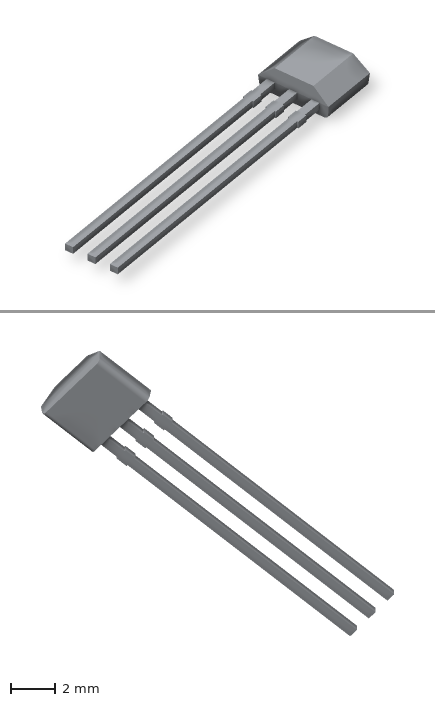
import cadquery as cq
import math

HOUSING_WIDTH = 4.0
HOUSING_LENGTH = 3.15
HOUSING_HEIGHT = 1.52
UPPER_HEIGHT = 0.755
LOWER_HEIGHT = HOUSING_HEIGHT - UPPER_HEIGHT
TOP_FACE_WIDTH = 2.2
DRAFT_ANGLE = 5.0
BOTTOM_ROUND = 0.25

LEAD_COUNT = 3
LEAD_PITCH = 1.27
LEAD_WIDTH = 0.455
LEAD_THICKNESS = 0.38
LEAD_EMBED_DEPTH = 0.5
OVERALL_LENGTH = 18.45
LEAD_LENGTH = OVERALL_LENGTH - HOUSING_LENGTH

STOP_WIDTH = 0.595
STOP_LENGTH = 0.6
STOP_DISTANCE = 1.1


def draft_inset(height):
    """Horizontal set-back of a drafted wall over the given height."""
    return height * math.tan(math.radians(DRAFT_ANGLE))


def make_housing_half(end_width, end_z):
    """Half of the housing, tapering from the parting plane to a smaller rectangle at end_z."""
    end_length = HOUSING_LENGTH - 2 * draft_inset(abs(end_z))
    return (
        cq.Workplane("XY", origin=(0, HOUSING_LENGTH / 2, 0))
        .rect(HOUSING_WIDTH, HOUSING_LENGTH)
        .workplane(offset=end_z)
        .rect(end_width, end_length)
        .loft(ruled=True)
    )


def make_bar(x_center, width, y_start, y_end):
    """Bar as thick as a lead, from y_start to y_end, hanging below the parting plane."""
    return (
        cq.Workplane("XY", origin=(x_center, (y_start + y_end) / 2, 0))
        .rect(width, y_end - y_start)
        .extrude(-LEAD_THICKNESS)
    )


def make_lead(x_center):
    """Straight lead with its wider stop; the inner end reaches into the housing."""
    bar = make_bar(x_center, LEAD_WIDTH, -LEAD_LENGTH, LEAD_EMBED_DEPTH)
    stop = make_bar(x_center, STOP_WIDTH, -STOP_DISTANCE - STOP_LENGTH, -STOP_DISTANCE)
    return bar.union(stop)


def make_housing(leads):
    """Moulded housing with a matching recess for the inner end of each lead."""
    upper = make_housing_half(TOP_FACE_WIDTH, UPPER_HEIGHT)
    bottom_width = HOUSING_WIDTH - 2 * draft_inset(LOWER_HEIGHT)
    lower = make_housing_half(bottom_width, -LOWER_HEIGHT)
    lower = lower.faces("<Z").edges("|Y").fillet(BOTTOM_ROUND)
    housing = upper.union(lower)
    for lead in leads:
        housing = housing.cut(lead)
    return housing


middle_lead = (LEAD_COUNT - 1) / 2
leads = [make_lead((index - middle_lead) * LEAD_PITCH) for index in range(LEAD_COUNT)]
housing = make_housing(leads)

result = cq.Compound.makeCompound([housing.val(), *[lead.val() for lead in leads]])